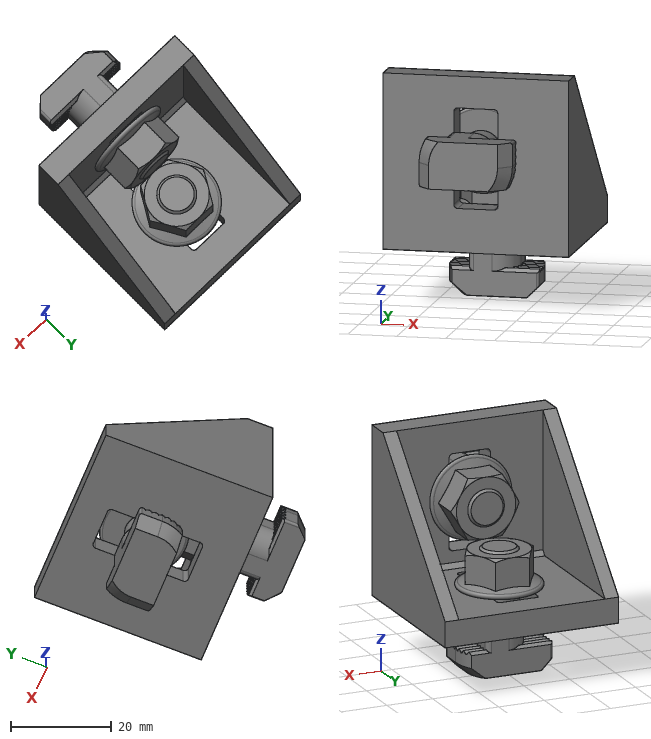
import cadquery as cq
import math

bracket_width = 38.0
leg_length = 36.0
plate_thickness = 5.5
cheek_thickness = 3.0
inner_corner_chamfer = 1.0

slot_width = 9.0
slot_start = 9.0
slot_end = 29.5
slot_corner_radius = 0.8

bolt_position = 20.0
bolt_diameter = 8.0
bolt_tip_height = 14.0
bolt_tip_diameter = 7.0
bolt_tip_chamfer = (bolt_diameter - bolt_tip_diameter) / 2

shank_top = -1.55
shank_width = 9.7
shank_corner_radius = 1.0

head_bottom = -11.8
head_top = -5.95
head_length = 19.1
head_width = shank_width
head_chamfer = 2.5
head_corner_radius = 0.5

tooth_pitch = 1.4
tooth_depth = tooth_pitch / 2

nut_height = 8.0
hex_across_flats = 13.0
hex_across_corners = hex_across_flats / math.cos(math.radians(30))
hex_chamfer_angle = 30.0
flange_diameter = 17.9
flange_edge_radius = 0.55
flange_slope_angle = 19.0


def slot_cutter():
    """Rounded rectangular slot through a plate lying on the XY plane."""
    return (
        cq.Workplane("XY")
        .center(0, (slot_start + slot_end) / 2)
        .rect(slot_width, slot_end - slot_start)
        .extrude(plate_thickness)
        .edges("|Z")
        .fillet(slot_corner_radius)
    )


def make_bracket():
    """Angle bracket with sloping cheeks and a slot in each plate."""
    side_outline = [
        (0, 0),
        (leg_length, 0),
        (leg_length, plate_thickness),
        (plate_thickness, leg_length),
        (0, leg_length),
    ]
    block = cq.Workplane("YZ").polyline(side_outline).close().extrude(bracket_width / 2, both=True)

    chamfer_end = plate_thickness + inner_corner_chamfer
    pocket_outline = [
        (chamfer_end, plate_thickness),
        (leg_length, plate_thickness),
        (leg_length, leg_length),
        (plate_thickness, leg_length),
        (plate_thickness, chamfer_end),
    ]
    pocket_width = bracket_width - 2 * cheek_thickness
    pocket = cq.Workplane("YZ").polyline(pocket_outline).close().extrude(pocket_width / 2, both=True)

    floor_slot = slot_cutter()
    wall_slot = floor_slot.mirror(cq.Vector(0, 1, -1))
    return block.cut(pocket).cut(floor_slot).cut(wall_slot)


def opposite_pair(corner):
    """A corner block and its copy turned half a turn about the bolt axis."""
    return corner.union(corner.rotate((0, 0, 0), (0, 0, 1), 180))


def make_bolt_head():
    """Hammer head: two opposite corners round for turning in the groove, the other two square."""
    height = head_top - head_bottom
    disc = (
        cq.Workplane("XY", origin=(0, 0, head_bottom))
        .circle(head_length / 2)
        .extrude(height)
        .faces("<Z")
        .chamfer(head_chamfer)
    )
    slab = cq.Workplane("XY", origin=(0, 0, head_bottom)).rect(head_length, head_width).extrude(height)

    square_corner = (
        cq.Workplane("XY", origin=(0, 0, head_bottom))
        .rect(head_length / 2, -head_width / 2, centered=False)
        .extrude(height)
        .edges("|Z")
        .edges(">X and <Y")
        .fillet(head_corner_radius)
    )
    chamfer_wedge = (
        cq.Workplane("XZ")
        .moveTo(head_length / 2 - head_chamfer, head_bottom)
        .lineTo(head_length / 2, head_bottom)
        .lineTo(head_length / 2, head_bottom + head_chamfer)
        .close()
        .extrude(head_width / 2)
    )
    head = disc.intersect(slab).union(opposite_pair(square_corner.cut(chamfer_wedge)))

    groove_count = math.ceil(head_width / tooth_pitch) + 1
    for index in range(groove_count):
        valley = -head_width / 2 + index * tooth_pitch
        groove = (
            cq.Workplane("YZ")
            .moveTo(valley - tooth_pitch / 2, head_top)
            .lineTo(valley, head_top - tooth_depth)
            .lineTo(valley + tooth_pitch / 2, head_top)
            .close()
            .extrude(head_length / 2, both=True)
        )
        head = head.cut(groove)
    return head


def make_bolt():
    """T-bolt: plain round stem, shank with two opposite square corners, and hammer head."""
    stem = (
        cq.Workplane("XY", origin=(0, 0, shank_top))
        .circle(bolt_diameter / 2)
        .extrude(bolt_tip_height - shank_top)
        .faces(">Z")
        .chamfer(bolt_tip_chamfer)
    )

    shank_bottom = head_bottom + head_chamfer
    shank_height = shank_top - shank_bottom
    shank = cq.Workplane("XY", origin=(0, 0, shank_bottom)).circle(shank_width / 2).extrude(shank_height)
    square_corner = (
        cq.Workplane("XY", origin=(0, 0, shank_bottom))
        .rect(-shank_width / 2, -shank_width / 2, centered=False)
        .extrude(shank_height)
        .edges("|Z")
        .edges("<X and <Y")
        .fillet(shank_corner_radius)
    )
    return make_bolt_head().union(shank).union(opposite_pair(square_corner)).union(stem)


def make_nut():
    """Hexagon nut with a chamfered top and a conical flange with a round edge."""
    hexagon = cq.Workplane("XY").polygon(6, hex_across_corners).extrude(nut_height)

    cone_radius = flange_diameter / 2
    cone_drop = (cone_radius - hex_across_flats / 2) * math.tan(math.radians(hex_chamfer_angle))
    bevel = (
        cq.Workplane("XZ")
        .lineTo(cone_radius, 0)
        .lineTo(cone_radius, nut_height - cone_drop)
        .lineTo(hex_across_flats / 2, nut_height)
        .lineTo(0, nut_height)
        .close()
        .revolve(360, (0, 0), (0, 1))
    )

    edge_height = 2 * flange_edge_radius
    face_radius = flange_diameter / 2 - flange_edge_radius
    apex_height = edge_height + face_radius * math.tan(math.radians(flange_slope_angle))
    flange = (
        cq.Workplane("XZ")
        .lineTo(face_radius, 0)
        .threePointArc((flange_diameter / 2, flange_edge_radius), (face_radius, edge_height))
        .lineTo(0, apex_height)
        .close()
        .revolve(360, (0, 0), (0, 1))
    )
    bore = cq.Workplane("XY").circle(bolt_diameter / 2).extrude(nut_height)
    return hexagon.intersect(bevel).union(flange).cut(bore)


def fasten_floor(body):
    """Move a body from the bolt axis to the floor slot."""
    return body.translate((0, bolt_position, 0))


def fasten_wall(body):
    """Turn a body to point along +Y and move it to the wall slot."""
    return body.rotate((0, 0, 0), (1, 0, 0), -90).translate((0, 0, bolt_position))


bracket = make_bracket()
bolt = make_bolt()
nut = make_nut().translate((0, 0, plate_thickness))

bodies = [bracket.solids().val()]
for fasten in (fasten_floor, fasten_wall):
    bodies.append(fasten(bolt).solids().val())
    bodies.append(fasten(nut).solids().val())

result = cq.Compound.makeCompound(bodies)